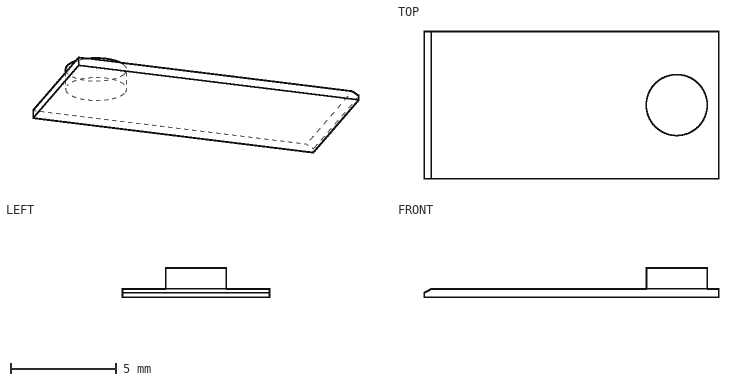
import cadquery as cq

plate_length = 14.0
plate_width = 7.0
total_height = 1.4
plate_thickness = 0.4

bevel_length = 0.35
bevel_depth = 0.2

boss_diameter = 2.9
boss_to_right_end = 2.0
boss_height = total_height - plate_thickness


def make_plate():
    """Side profile with the bevelled end, extruded across the width."""
    return (
        cq.Workplane("XZ")
        .moveTo(0, 0)
        .lineTo(plate_length, 0)
        .lineTo(plate_length, plate_thickness)
        .lineTo(bevel_length, plate_thickness)
        .lineTo(0, plate_thickness - bevel_depth)
        .close()
        .extrude(plate_width / 2, both=True)
    )


def make_boss():
    """Plain cylinder standing on the top face of the plate."""
    return (
        cq.Workplane("XY", origin=(plate_length - boss_to_right_end, 0, plate_thickness))
        .circle(boss_diameter / 2)
        .extrude(boss_height)
    )


result = make_plate().union(make_boss())